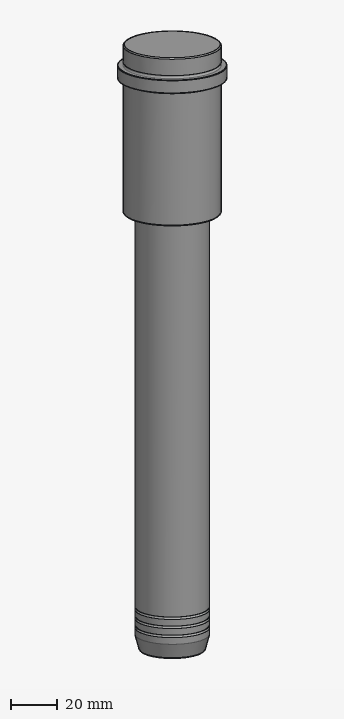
import cadquery as cq
import math

TOTAL_LENGTH = 270.0

COLLAR_RADIUS = 47.0 / 2
HEAD_RADIUS = 42.0 / 2
SHAFT_RADIUS = 32.0 / 2

COLLAR_TOP_DEPTH = 9.2
COLLAR_THICKNESS = 6.0
HEAD_LENGTH = 75.0

RIM_CHAMFER = 0.5
COLLAR_CHAMFER = 0.3

ABOVE_COLLAR_RELIEF = (1.4, 0.5)
BELOW_COLLAR_RELIEF = (0.8, 0.3)
BELOW_HEAD_RELIEF = (0.8, 0.3)

GROOVE_COUNT = 3
GROOVE_WIDTH = 1.0
GROOVE_DEPTH = GROOVE_WIDTH / 2
GROOVE_PITCH = 4.0
LOWEST_GROOVE_HEIGHT = 10.0

LEAD_IN_HEIGHT = 7.0
LEAD_IN_ANGLE = 15.0
TIP_CHAMFER = 0.5

HEAD_BOTTOM = TOTAL_LENGTH - HEAD_LENGTH
COLLAR_TOP = TOTAL_LENGTH - COLLAR_TOP_DEPTH
COLLAR_BOTTOM = COLLAR_TOP - COLLAR_THICKNESS


def add_groove(outline, radius, bottom, width, depth):
    """Run the outline up to a groove and through its arc, back to the given radius."""
    return outline.lineTo(radius, bottom).threePointArc(
        (radius - depth, bottom + width / 2), (radius, bottom + width)
    )


def add_tip(outline):
    """Bottom face, its chamfer and the conical lead-in up to the shaft."""
    cone_height = LEAD_IN_HEIGHT - TIP_CHAMFER
    cone_radius = SHAFT_RADIUS - cone_height * math.tan(math.radians(LEAD_IN_ANGLE))
    return (
        outline.lineTo(cone_radius - TIP_CHAMFER, 0)
        .lineTo(cone_radius, TIP_CHAMFER)
        .lineTo(SHAFT_RADIUS, LEAD_IN_HEIGHT)
    )


def add_shaft(outline):
    """Shaft wall with its oil grooves and the relief just below the head."""
    for index in range(GROOVE_COUNT):
        groove_bottom = LOWEST_GROOVE_HEIGHT + index * GROOVE_PITCH
        outline = add_groove(outline, SHAFT_RADIUS, groove_bottom, GROOVE_WIDTH, GROOVE_DEPTH)
    width, depth = BELOW_HEAD_RELIEF
    return add_groove(outline, SHAFT_RADIUS, HEAD_BOTTOM - width, width, depth)


def add_lower_head(outline):
    """Head wall from its chamfered lower rim to the underside of the collar."""
    outline = outline.lineTo(HEAD_RADIUS - RIM_CHAMFER, HEAD_BOTTOM)
    outline = outline.lineTo(HEAD_RADIUS, HEAD_BOTTOM + RIM_CHAMFER)
    width, depth = BELOW_COLLAR_RELIEF
    return add_groove(outline, HEAD_RADIUS, COLLAR_BOTTOM - width, width, depth)


def add_collar(outline):
    """Collar with a chamfer on both rims."""
    return (
        outline.lineTo(COLLAR_RADIUS - COLLAR_CHAMFER, COLLAR_BOTTOM)
        .lineTo(COLLAR_RADIUS, COLLAR_BOTTOM + COLLAR_CHAMFER)
        .lineTo(COLLAR_RADIUS, COLLAR_TOP - COLLAR_CHAMFER)
        .lineTo(COLLAR_RADIUS - COLLAR_CHAMFER, COLLAR_TOP)
    )


def add_upper_head(outline):
    """Head wall from the relief above the collar to the chamfered top face."""
    width, depth = ABOVE_COLLAR_RELIEF
    outline = add_groove(outline, HEAD_RADIUS, COLLAR_TOP, width, depth)
    return (
        outline.lineTo(HEAD_RADIUS, TOTAL_LENGTH - RIM_CHAMFER)
        .lineTo(HEAD_RADIUS - RIM_CHAMFER, TOTAL_LENGTH)
        .lineTo(0, TOTAL_LENGTH)
    )


half_section = cq.Workplane("XZ").moveTo(0, 0)
for add_section in (add_tip, add_shaft, add_lower_head, add_collar, add_upper_head):
    half_section = add_section(half_section)

result = half_section.close().revolve(360, (0, 0, 0), (0, 1, 0))